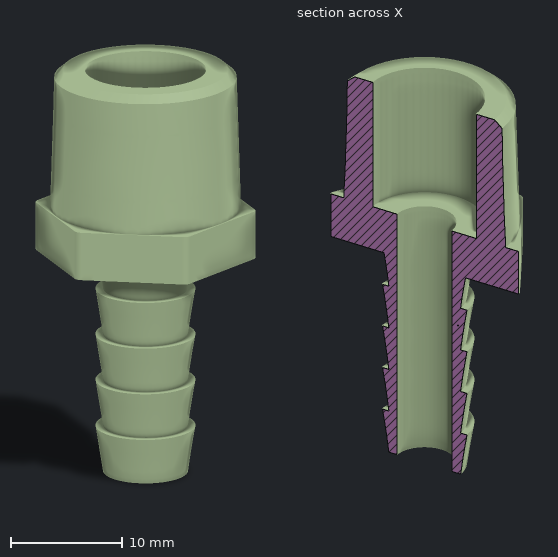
import cadquery as cq
import math

total_height = 37.85
barb_pitch = 4.31
full_barb_count = 4
hex_bottom = 20.5
hex_height = 4.47
hex_top = hex_bottom + hex_height

barb_root_radius = 7.65 / 2
barb_tip_radius = 9.0 / 2

hex_sides = 6
across_flats = 17.4625
hex_corner_radius = 0.75

spigot_base_radius = 17.2 / 2
taper_on_radius = 1 / 32
lead_in_height = 0.68
lead_in_width = 0.8

through_bore_diameter = 5.77
spigot_bore_diameter = 10.92
spigot_bore_depth = total_height - hex_top


def frustum(bottom_z, height, bottom_radius, top_radius):
    """Solid cone frustum on the Z axis."""
    profile = (
        cq.Workplane("XZ")
        .moveTo(0, bottom_z)
        .lineTo(bottom_radius, bottom_z)
        .lineTo(top_radius, bottom_z + height)
        .lineTo(0, bottom_z + height)
        .close()
    )
    return profile.revolve(360, (0, 0, 0), (0, 1, 0))


def barbed_stem():
    """Full barbs stacked from the hose end, then a partial one running into the collar."""
    stem_top = full_barb_count * barb_pitch
    neck_height = hex_bottom - stem_top
    barb_flare = (barb_tip_radius - barb_root_radius) / barb_pitch
    neck_top_radius = barb_root_radius + barb_flare * neck_height
    stem = frustum(stem_top, neck_height, barb_root_radius, neck_top_radius)
    for index in range(full_barb_count):
        barb = frustum(index * barb_pitch, barb_pitch, barb_root_radius, barb_tip_radius)
        stem = stem.union(barb)
    return stem


def hex_collar():
    """Hexagon with flats facing +X and -X and rounded vertical edges."""
    half_side_angle = 180 / hex_sides
    across_corners = across_flats / math.cos(math.radians(half_side_angle))
    return (
        cq.Workplane("XY")
        .workplane(offset=hex_bottom)
        .polygon(hex_sides, across_corners)
        .extrude(hex_height)
        .rotate((0, 0, 0), (0, 0, 1), half_side_angle)
        .edges("|Z")
        .fillet(hex_corner_radius)
    )


def tapered_spigot():
    """Pipe-end cone narrowing upwards, finished with a lead-in chamfer."""
    cone_height = total_height - hex_top - lead_in_height
    cone_top_radius = spigot_base_radius - taper_on_radius * cone_height
    cone = frustum(hex_top, cone_height, spigot_base_radius, cone_top_radius)
    lead_in = frustum(
        hex_top + cone_height, lead_in_height, cone_top_radius, cone_top_radius - lead_in_width
    )
    return cone.union(lead_in)


def drill_passage(body):
    """Cut the through bore and the wider bore in the spigot."""
    return (
        body.faces(">Z")
        .workplane(origin=(0, 0, total_height))
        .cboreHole(through_bore_diameter, spigot_bore_diameter, spigot_bore_depth)
    )


body = barbed_stem().union(hex_collar()).union(tapered_spigot())
result = drill_passage(body)